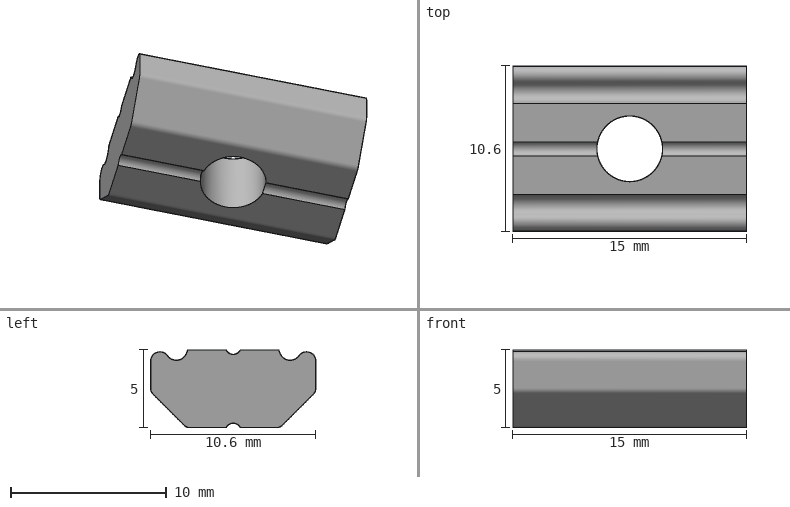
import cadquery as cq
import math

LENGTH = 15.0
WIDTH = 10.6
HEIGHT = 5.0
HALF_WIDTH = WIDTH / 2

HOLE_DIAMETER = 4.2

LIP_RADIUS = 0.6
LIP_DROP = 0.12

CHANNEL_RADIUS = 0.69
CHANNEL_DEPTH = 0.66
CHANNEL_FLANK_ANGLE = math.radians(22)

LOWER_CHAMFER = 2.31
LOWER_FILLET = 0.5

GROOVE_HALF_WIDTH = 0.45
GROOVE_DEPTH = 0.28


def make_body():
    """Block with sloping lower sides and rounded corners there."""
    half_base = HALF_WIDTH - LOWER_CHAMFER
    outline = [
        (-half_base, 0),
        (half_base, 0),
        (HALF_WIDTH, LOWER_CHAMFER),
        (HALF_WIDTH, HEIGHT),
        (-HALF_WIDTH, HEIGHT),
        (-HALF_WIDTH, LOWER_CHAMFER),
    ]
    body = cq.Workplane("YZ").polyline(outline).close().extrude(LENGTH / 2, both=True)
    middle_height = HEIGHT / 2
    lower_edges = cq.selectors.BoxSelector(
        (-LENGTH, -WIDTH, -0.15), (LENGTH, WIDTH, middle_height)
    )
    return body.edges("|X").edges(lower_edges).fillet(LOWER_FILLET)


def make_edge_cutter():
    """Space above the lip and in the channel on the +Y side."""
    lip_y = HALF_WIDTH - LIP_RADIUS
    lip_z = HEIGHT - LIP_DROP - LIP_RADIUS
    channel_z = HEIGHT - CHANNEL_DEPTH + CHANNEL_RADIUS

    centre_distance = LIP_RADIUS + CHANNEL_RADIUS
    centre_rise = channel_z - lip_z
    centre_offset = math.sqrt(centre_distance**2 - centre_rise**2)
    channel_y = lip_y - centre_offset
    meeting_y = lip_y - LIP_RADIUS * centre_offset / centre_distance
    meeting_z = lip_z + LIP_RADIUS * centre_rise / centre_distance

    flank_y = channel_y - CHANNEL_RADIUS * math.cos(CHANNEL_FLANK_ANGLE)
    flank_z = channel_z - CHANNEL_RADIUS * math.sin(CHANNEL_FLANK_ANGLE)
    rim_y = flank_y - (HEIGHT - flank_z) * math.tan(CHANNEL_FLANK_ANGLE)

    return (
        cq.Workplane("YZ")
        .moveTo(HALF_WIDTH, HEIGHT)
        .lineTo(HALF_WIDTH, lip_z)
        .threePointArc((lip_y, lip_z + LIP_RADIUS), (meeting_y, meeting_z))
        .threePointArc((channel_y, channel_z - CHANNEL_RADIUS), (flank_y, flank_z))
        .lineTo(rim_y, HEIGHT)
        .close()
        .extrude(LENGTH / 2, both=True)
    )


def make_groove_cutter():
    """Marking groove along the middle of the top face."""
    return (
        cq.Workplane("YZ")
        .moveTo(-GROOVE_HALF_WIDTH, HEIGHT)
        .threePointArc((0, HEIGHT - GROOVE_DEPTH), (GROOVE_HALF_WIDTH, HEIGHT))
        .close()
        .extrude(LENGTH / 2, both=True)
    )


result = make_body()

edge_cutter = make_edge_cutter()
result = result.cut(edge_cutter).cut(edge_cutter.mirror("XZ"))

groove_cutter = make_groove_cutter()
result = result.cut(groove_cutter)
result = result.cut(groove_cutter.mirror("XY", (0, 0, HEIGHT / 2)))

hole = cq.Workplane("XY").circle(HOLE_DIAMETER / 2).extrude(HEIGHT)
result = result.cut(hole)